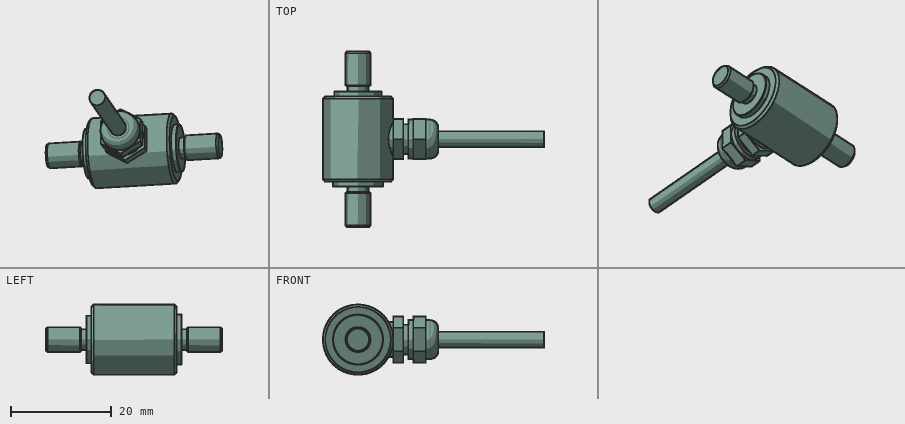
import cadquery as cq
import math


HOUSING_DIA = 14.0
HOUSING_LENGTH = 17.0
HOUSING_CHAMFER = 0.5

SHAFT_LENGTH = 35.0
CORE_DIA = 9.5
FLANGE_DIA = 10.0
FLANGE_THICKNESS = 1.0
FLANGE_CHAMFER = 0.1
NECK_DIA = 4.2
NECK_LENGTH = 1.0
STUD_DIA = 5.0
STUD_END_DIA = 4.4
STUD_TIP_CHAMFER_LENGTH = 0.4
STUD_ROOT_CHAMFER_LENGTH = 0.25

SPIGOT_DIA = 7.0
SPIGOT_DEPTH = 1.5
HEX_ACROSS_FLATS = 8.0
BASE_HEX_LENGTH = 2.0
GLAND_NECK_DIA = 6.0
GLAND_NECK_LENGTH = 1.0

CAP_DIA = 7.8
CAP_LENGTH = 6.0
CAP_COLLAR_LENGTH = 1.0
CAP_HEX_LENGTH = 2.5
CAP_DOME_RADIUS = 1.75

CABLE_DIA = 3.2
CABLE_END_X = 37.0

HOUSING_END = HOUSING_LENGTH / 2
FLANGE_END = HOUSING_END + FLANGE_THICKNESS
STUD_ROOT = FLANGE_END + NECK_LENGTH
SHAFT_END = SHAFT_LENGTH / 2

BASE_HEX_START = HOUSING_DIA / 2
SPIGOT_SEAT = BASE_HEX_START - SPIGOT_DEPTH
BASE_HEX_END = BASE_HEX_START + BASE_HEX_LENGTH
CAP_START = BASE_HEX_END + GLAND_NECK_LENGTH
CAP_HEX_START = CAP_START + CAP_COLLAR_LENGTH

HEX_ACROSS_CORNERS = HEX_ACROSS_FLATS / math.cos(math.pi / 6)


def cylinder_along_x(diameter, start, end):
    """Round bar on the cable axis."""
    return cq.Workplane("YZ", origin=(start, 0, 0)).circle(diameter / 2).extrude(end - start)


def hexagon_along_x(start, length):
    """Hexagonal bar on the cable axis, with corners at top and bottom."""
    hexagon = cq.Workplane("YZ", origin=(start, 0, 0)).transformed(rotate=(0, 0, 90))
    return hexagon.polygon(6, HEX_ACROSS_CORNERS).extrude(length)


def make_housing():
    """Chamfered sleeve bored for the shaft, with a blind seat for the gland."""
    sleeve = cq.Workplane("XZ", origin=(0, HOUSING_END, 0)).circle(HOUSING_DIA / 2)
    sleeve = sleeve.extrude(HOUSING_LENGTH).faces("<Y or >Y").chamfer(HOUSING_CHAMFER)
    bore = cq.Workplane("XZ", origin=(0, HOUSING_END, 0)).circle(CORE_DIA / 2)
    bore = bore.extrude(HOUSING_LENGTH)
    gland_seat = cylinder_along_x(SPIGOT_DIA, SPIGOT_SEAT, HOUSING_DIA / 2)
    return sleeve.cut(bore).cut(gland_seat)


def stud_end_profile(shoulder_radius, side):
    """Radius and Y points from a shoulder out to the stud tip; side is +1 or -1 along Y."""
    points = [
        (shoulder_radius, FLANGE_END - FLANGE_CHAMFER),
        (shoulder_radius - FLANGE_CHAMFER, FLANGE_END),
        (NECK_DIA / 2, FLANGE_END),
        (NECK_DIA / 2, STUD_ROOT),
        (STUD_END_DIA / 2, STUD_ROOT),
        (STUD_DIA / 2, STUD_ROOT + STUD_ROOT_CHAMFER_LENGTH),
        (STUD_DIA / 2, SHAFT_END - STUD_TIP_CHAMFER_LENGTH),
        (STUD_END_DIA / 2, SHAFT_END),
        (0, SHAFT_END),
    ]
    return [(radius, side * y) for radius, y in points]


def make_shaft():
    """Turned shaft through the housing, with a stud at each end and a flange at the -Y end."""
    rear_end = stud_end_profile(CORE_DIA / 2, 1)
    front_end = stud_end_profile(FLANGE_DIA / 2, -1)
    flange_step = [(FLANGE_DIA / 2, -HOUSING_END), (CORE_DIA / 2, -HOUSING_END)]
    profile = front_end[::-1] + flange_step + rear_end
    return cq.Workplane("XY").polyline(profile).close().revolve(360, (0, 0, 0), (0, 1, 0))


def make_gland_base():
    """Spigot in the housing seat, wrench hexagon and neck."""
    spigot = cylinder_along_x(SPIGOT_DIA, SPIGOT_SEAT, BASE_HEX_START)
    hexagon = hexagon_along_x(BASE_HEX_START, BASE_HEX_LENGTH)
    neck = cylinder_along_x(GLAND_NECK_DIA, BASE_HEX_END, CAP_START)
    return spigot.union(hexagon).union(neck)


def make_gland_cap():
    """Domed cap with a wrench hexagon, bored for the cable."""
    cap_end = CAP_START + CAP_LENGTH
    barrel = cylinder_along_x(CAP_DIA, CAP_START, cap_end).faces(">X").edges().fillet(CAP_DOME_RADIUS)
    hexagon = hexagon_along_x(CAP_HEX_START, CAP_HEX_LENGTH)
    cable_bore = cylinder_along_x(CABLE_DIA, CAP_START, cap_end)
    return barrel.union(hexagon).cut(cable_bore)


def make_cable():
    """Cable stub from the gland neck out through the cap."""
    return cylinder_along_x(CABLE_DIA, CAP_START, CABLE_END_X)


housing = make_housing()
shaft = make_shaft()
gland_base = make_gland_base()
gland_cap = make_gland_cap()
cable = make_cable()

result = cq.Compound.makeCompound([
    housing.val(),
    shaft.val(),
    gland_base.val(),
    gland_cap.val(),
    cable.val(),
])